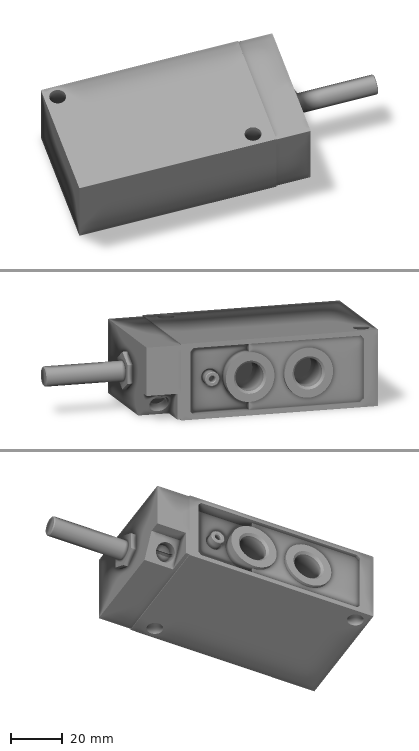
import cadquery as cq
import math

width = 50.0
height = 30.5
total_length = 128.0
body_length = 80.0
port_face = -width / 2

cap_length = 14.0
cap_width = 49.8
cap_height = 29.6
cap_end = body_length + cap_length

nut_corner_diameter = 15.1
nut_thickness = 2.0
rod_diameter = 8.0
rod_chamfer = 0.4

recess_start = 5.8
recess_end = 76.2
recess_height = 26.6
recess_corner = 1.3
shallow_depth = 1.5
deep_depth = 4.9

port_places = (28.2, 52.0)
ring_diameter = 19.7
port_diameter = 11.4
port_mouth_diameter = 13.2
port_depth = 15.4
deep_recess_start = port_places[-1]

pin_place = 67.0
pin_diameter = 5.8
pin_chamfer = 0.3
pin_front_depth = 1.2
pin_countersink_diameter = 7.0
pin_hole_diameter = 2.4
pin_mouth_diameter = 3.1
pin_hole_depth = 3.7

mounting_hole_diameter = 6.5
mounting_holes = ((-20.0, 5.2), (20.0, 72.0))

notch_top = -4.5
notch_start = 81.5
notch_tilt = 30.0
notch_ledge = 5.1
notch_slope_top = port_face + notch_ledge
screw_mouth_diameter = 8.0
screw_floor_diameter = 6.5
screw_hole_depth = 3.6
screw_place_y = 86.3
screw_place_z = -10.0
slot_length = 7.4
slot_width = 1.3
slot_depth = 1.0


def side_cylinder(diameter, y, depth_from, depth_to):
    """Cylinder along X at mid height, between two depths below the port face."""
    plane = cq.Workplane("YZ", origin=(port_face + depth_from, y, 0))
    return plane.circle(diameter / 2).extrude(depth_to - depth_from)


def countersink(mouth_diameter, hole_diameter, y, start_depth):
    """45 degree countersink along X that opens at a given depth below the port face."""
    depth = (mouth_diameter - hole_diameter) / 2
    plane = cq.Workplane("YZ", origin=(port_face + start_depth, y, 0))
    return plane.circle(mouth_diameter / 2).workplane(offset=depth).circle(hole_diameter / 2).loft()


def block(block_width, length, start, block_height):
    """Block centred on the X and Z axes, reaching back from a given Y."""
    return cq.Workplane("XY").box(block_width, length, block_height, (True, False, True)).translate((0, start, 0))


def recess():
    """Shallow recess with chamfered corners, deeper beyond the second port's axis."""
    recess_length = recess_end - recess_start
    outline = (
        cq.Workplane("XY")
        .box(deep_depth, recess_length, recess_height, (False, False, True))
        .edges("|X")
        .chamfer(recess_corner)
        .translate((port_face, recess_start, 0))
    )
    step = cq.Workplane("XY").box(
        deep_depth - shallow_depth, deep_recess_start - recess_start, recess_height, (False, False, True)
    )
    return outline.cut(step.translate((port_face + shallow_depth, recess_start, 0)))


def pin():
    """Pin with a chamfered free end and a blind hole, rooted at the bottom of its countersink."""
    root_depth = deep_depth + (pin_countersink_diameter - pin_diameter) / 2
    body = side_cylinder(pin_diameter, pin_place, pin_front_depth, root_depth).faces("<X").chamfer(pin_chamfer)
    hole = side_cylinder(pin_hole_diameter, pin_place, pin_front_depth, pin_front_depth + pin_hole_depth)
    mouth = countersink(pin_mouth_diameter, pin_hole_diameter, pin_place, pin_front_depth)
    return body.cut(hole).cut(mouth)


def notch():
    """Lower port-side corner of the cap: a flat ledge above a back face that slopes inwards."""
    drop = notch_top + height / 2
    inset = drop * math.tan(math.radians(notch_tilt))
    corners = [
        (port_face, notch_top),
        (notch_slope_top, notch_top),
        (notch_slope_top + inset, notch_top - drop),
        (port_face, notch_top - drop),
    ]
    plane = cq.Workplane("XZ", origin=(0, cap_end, 0))
    return plane.polyline(corners).close().extrude(cap_end - notch_start)


def screw_hole():
    """Round hole square to the sloped face, with a driver slot across its floor."""
    tilt = math.radians(notch_tilt)
    center_x = notch_slope_top + (notch_top - screw_place_z) * math.tan(tilt)
    face = cq.Plane(
        origin=(center_x, screw_place_y, screw_place_z),
        xDir=(0, 1, 0),
        normal=(math.cos(tilt), 0, math.sin(tilt)),
    )
    hole = (
        cq.Workplane(face)
        .circle(screw_mouth_diameter / 2)
        .workplane(offset=screw_hole_depth)
        .circle(screw_floor_diameter / 2)
        .loft()
    )
    slot = cq.Workplane(face).rect(slot_length, slot_width).extrude(screw_hole_depth + slot_depth)
    return hole.union(slot)


def nut_and_rod():
    """Hexagonal nut with corners up and down, and the rod that passes through it."""
    cap_face = cq.Workplane("XZ", origin=(0, cap_end, 0))
    nut = cap_face.transformed(rotate=(0, 0, 90)).polygon(6, nut_corner_diameter).extrude(-nut_thickness)
    rod = cap_face.circle(rod_diameter / 2).extrude(cap_end - total_length)
    return nut.union(rod.faces(">Y").chamfer(rod_chamfer))


result = block(width, body_length, 0, height).cut(recess())
for place in port_places:
    result = result.union(side_cylinder(ring_diameter, place, 0, deep_depth))
    result = result.cut(side_cylinder(port_diameter, place, 0, port_depth))
    result = result.cut(countersink(port_mouth_diameter, port_diameter, place, 0))
result = result.cut(countersink(pin_countersink_diameter, pin_diameter, pin_place, deep_depth))
result = result.union(pin())

mounting_plane = cq.Workplane("XY", origin=(0, 0, -height / 2))
result = result.cut(mounting_plane.pushPoints(mounting_holes).circle(mounting_hole_diameter / 2).extrude(height))

cap = block(cap_width, cap_length, body_length, cap_height).cut(notch()).cut(screw_hole())
result = result.union(cap).union(nut_and_rod())